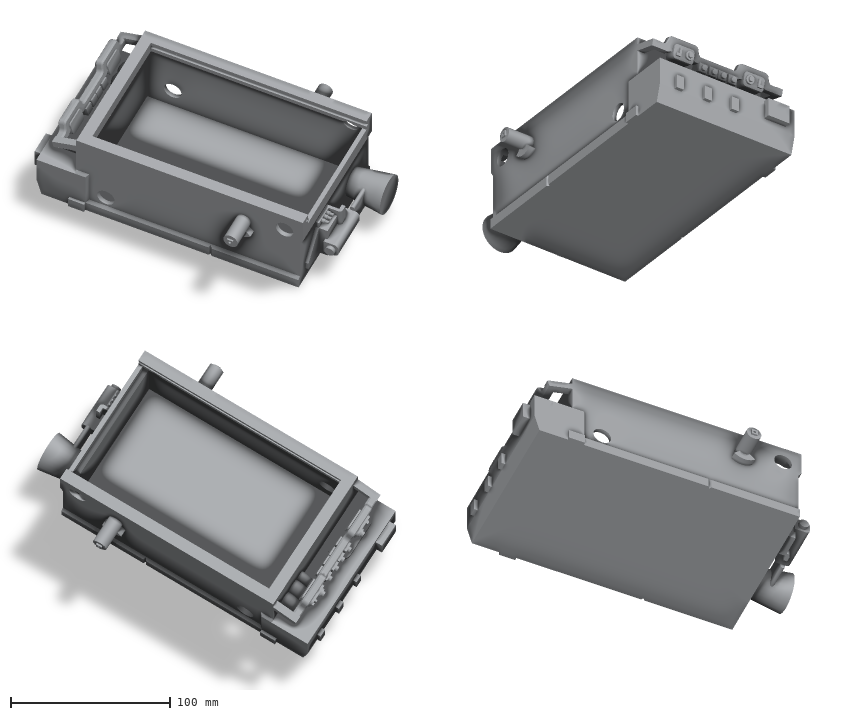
import cadquery as cq
import math

WALL = 3.0
FLOOR = 2.5
TUB_FRONT = 31.5
TUB_BACK = 186.8
TUB_LIP_BACK = 189.0
TUB_HALF = 50.0
TUB_TOP = 61.5
STEP_LOW, STEP_HIGH = 40.5, 44.0
BACK_WALL_TOP = 53.5

RAIL_TOP = 7.0
BEVEL = 2.0
RAIL_HALF = TUB_HALF + BEVEL

BLOCK_FRONT, BLOCK_BACK = 4.7, 38.6
BLOCK_TOP = 31.5
BLOCK_SLOPE_TOP = 12.3
BLOCK_TOE = 8.0

TRUNNION_X, TRUNNION_Z = 147.8, 43.3
TRUNNION_DIAMETER = 10.0
TRUNNION_END = 69.2
OVERALL_HALF_WIDTH = 70.38

HORN_Y, HORN_Z = 26.3, 19.5
HORN_END = 212.3

SIDES = (1, -1)
OVERLAP = 2.1


def box(x0, x1, y0, y1, z0, z1):
    """Box between two corners."""
    return cq.Workplane("XY").box(x1 - x0, y1 - y0, z1 - z0, centered=False).translate((x0, y0, z0))


def prism_y(outline, half_width):
    """Outline of (x, z) points extruded evenly to both sides of the middle plane."""
    return cq.Workplane("XZ").polyline(outline).close().extrude(half_width, both=True)


def cylinder_x(x0, x1, y, z, diameter):
    return cq.Workplane("YZ", origin=(x0, y, z)).circle(diameter / 2).extrude(x1 - x0)


def cylinder_y(y0, y1, x, z, diameter):
    return cq.Workplane("XZ", origin=(x, y0, z)).circle(diameter / 2).extrude(y0 - y1)


def tub_shell():
    return prism_y([
        (TUB_FRONT, 0),
        (TUB_BACK, 0),
        (TUB_BACK, STEP_LOW),
        (TUB_LIP_BACK, STEP_HIGH),
        (TUB_LIP_BACK, TUB_TOP),
        (TUB_FRONT, TUB_TOP),
    ], TUB_HALF)


def tub_hollow():
    """Inside of the tub, its narrower mouth open to the back, and the lid grooves."""
    mouth_front, mouth_half = 39.0, 42.5
    groove_low, groove_high, groove_depth = 56.5, 59.0, 2.1
    slope_low, slope_high = 40.0, 45.9
    cut_end = TUB_LIP_BACK + OVERLAP
    inside = prism_y([
        (TUB_FRONT + WALL, FLOOR),
        (TUB_BACK - WALL, FLOOR),
        (TUB_BACK - WALL, slope_low),
        (TUB_LIP_BACK - WALL, slope_high),
        (TUB_LIP_BACK - WALL, BACK_WALL_TOP),
        (TUB_FRONT + WALL, BACK_WALL_TOP),
    ], TUB_HALF - WALL)
    mouth = box(mouth_front, cut_end, -mouth_half, mouth_half, BACK_WALL_TOP, TUB_TOP)
    groove_half = mouth_half + groove_depth
    groove = box(mouth_front, cut_end, -groove_half, groove_half, groove_low, groove_high)
    return inside.union(mouth).union(groove)


def side_holes():
    """Round holes through both side walls: (x, z) centres."""
    hole_diameter = 12.0
    holes = cq.Workplane("XZ")
    holes = holes.pushPoints([(176.2, 48.6), (52.0, 16.5)]).circle(hole_diameter / 2)
    return holes.extrude(TUB_HALF + OVERLAP, both=True)


def bottom_rails():
    """Bevelled rails along both sides, each parted by an upright V-groove."""
    groove_x, groove_half, groove_depth = 125.3, 1.0, 1.5
    rails = cq.Workplane("YZ", origin=(TUB_FRONT, 0, 0)).polyline([
        (-RAIL_HALF, 0),
        (RAIL_HALF, 0),
        (RAIL_HALF, RAIL_TOP),
        (TUB_HALF, RAIL_TOP + BEVEL),
        (-TUB_HALF, RAIL_TOP + BEVEL),
        (-RAIL_HALF, RAIL_TOP),
    ]).close().extrude(TUB_BACK - TUB_FRONT)
    for side in SIDES:
        rails = rails.cut(cq.Workplane("XY").polyline([
            (groove_x - groove_half, side * RAIL_HALF),
            (groove_x + groove_half, side * RAIL_HALF),
            (groove_x, side * (RAIL_HALF - groove_depth)),
        ]).close().extrude(RAIL_TOP + BEVEL))
    return rails


def front_block():
    block = prism_y([
        (BLOCK_TOE, 0),
        (BLOCK_BACK, 0),
        (BLOCK_BACK, BLOCK_TOP),
        (BLOCK_FRONT, BLOCK_TOP),
        (BLOCK_FRONT, BLOCK_SLOPE_TOP),
    ], RAIL_HALF)
    collar_end = BLOCK_BACK + BEVEL
    collar_top = BLOCK_TOP + BEVEL
    for side in SIDES:
        collar = cq.Workplane("XZ", origin=(0, side * TUB_HALF, 0))
        collar = collar.moveTo((TUB_FRONT + collar_end) / 2, collar_top / 2)
        collar = collar.rect(collar_end - TUB_FRONT, collar_top)
        collar = collar.workplane(offset=-side * BEVEL)
        collar = collar.moveTo((TUB_FRONT + BLOCK_BACK) / 2, BLOCK_TOP / 2)
        collar = collar.rect(BLOCK_BACK - TUB_FRONT, BLOCK_TOP).loft(ruled=True)
        block = block.union(collar)
    return block


def block_details():
    """Side tabs, front buttons and the raised top plate of the front block."""
    tab_front, tab_thickness = 27.5, 2.0
    tab_half = RAIL_HALF + tab_thickness
    details = box(tab_front, BLOCK_BACK, -tab_half, tab_half, 0, RAIL_TOP)

    block_inside = BLOCK_FRONT + OVERLAP
    button_width, button_top, button_front = 5.3, 21.7, 2.1
    for y in (38.0, 16.3, -4.5):
        button = box(button_front, block_inside, y - button_width / 2, y + button_width / 2,
                     BLOCK_SLOPE_TOP, button_top)
        details = details.union(button)
    hatch_right, hatch_left, hatch_low, hatch_high = -44.8, -28.5, 16.5, 29.5
    details = details.union(box(0, block_inside, hatch_right, hatch_left, hatch_low, hatch_high))

    plate_front, plate_width, plate_height = 13.0, 15.3, 1.7
    plate_left, plate_right = -4.7, -36.7
    end_radius = plate_width / 2
    plate = box(plate_front, plate_front + plate_width, plate_right, plate_left - end_radius,
                BLOCK_TOP, BLOCK_TOP + plate_height)
    round_end = cq.Workplane("XY", origin=(plate_front + end_radius, plate_left - end_radius, BLOCK_TOP))
    plate = plate.union(round_end.circle(end_radius).extrude(plate_height))
    return details.union(plate)


def domes():
    """Three upright discs with full-round rims, half buried in the front wall of the tub."""
    disc_radius = 7.2
    group = cq.Workplane("XY")
    for y, width in ((36.3, 10.0), (26.8, 10.0), (18.3, 6.5)):
        disc = cq.Workplane("XY").moveTo(0, -width / 2).lineTo(disc_radius, -width / 2)
        disc = disc.threePointArc((disc_radius + width / 2, 0), (disc_radius, width / 2))
        disc = disc.lineTo(0, width / 2).close().revolve(360, (0, 0, 0), (0, 1, 0))
        group = group.add(disc.translate((TUB_FRONT, y, BLOCK_TOP)))
    keep = box(0, TUB_FRONT + WALL / 2, -TUB_HALF, TUB_HALF, BLOCK_TOP - OVERLAP, TUB_TOP)
    return group.combine().intersect(keep)


PANEL_TILT = 15
PANEL_FACE, PANEL_REAR = 27.4, 32.5
PANEL_LOW, PANEL_HIGH = 41.6, 46.3
HUMP_Y, HUMP_HIGH = 27.07, 52.7
CONTROL_FACE, CONTROL_REAR = 25.5, 33.5


def panel_bar():
    """Cross bar with two humps along its top edge and matching relief below."""
    top_half, foot_half = 10.8, 13.0
    relief_half, relief_foot, relief = 7.6, 10.5, 1.3
    bend, rear_bevel, face_bevel = 2.8, 1.0, 0.6
    near = 0.2

    upper = [(TUB_HALF, PANEL_HIGH)]
    lower = [(TUB_HALF, PANEL_LOW)]
    for centre in (HUMP_Y, -HUMP_Y):
        upper += [
            (centre + foot_half, PANEL_HIGH),
            (centre + top_half, HUMP_HIGH),
            (centre - top_half, HUMP_HIGH),
            (centre - foot_half, PANEL_HIGH),
        ]
        lower += [
            (centre + relief_foot, PANEL_LOW),
            (centre + relief_half, PANEL_LOW + relief),
            (centre - relief_half, PANEL_LOW + relief),
            (centre - relief_foot, PANEL_LOW),
        ]
    upper.append((-TUB_HALF, PANEL_HIGH))
    lower.append((-TUB_HALF, PANEL_LOW))
    bar = cq.Workplane("YZ", origin=(PANEL_FACE, 0, 0)).polyline(upper + lower[::-1]).close()
    bar = bar.extrude(PANEL_REAR - PANEL_FACE)

    def upper_edges(x0, x1):
        """Selector for the edges along the top of the bar between two depths."""
        return cq.selectors.BoxSelector(
            (x0 - near, near - TUB_HALF, PANEL_HIGH - near),
            (x1 + near, TUB_HALF - near, HUMP_HIGH + near))

    bar = bar.edges("|X").edges(upper_edges(PANEL_FACE, PANEL_REAR)).fillet(bend)
    bar = bar.edges(upper_edges(PANEL_REAR, PANEL_REAR)).chamfer(rear_bevel)
    return bar.edges(upper_edges(PANEL_FACE, PANEL_FACE)).chamfer(face_bevel)


def panel_controls():
    """Hump modules with a knob and a lever, and the row of push buttons."""
    module_width, module_low, module_high, module_radius = 15.5, 38.2, 48.0, 2.1
    knob_y, base_diameter, knob_diameter = 23.4, 6.0, 3.6
    base_face, knob_face, lever_face = 24.0, 22.3, 24.0
    lever_y, lever_width, lever_foot = 29.7, 1.5, 3.5
    lever_height, foot_height = 6.0, 2.0
    key_width, key_low, key_face = 6.4, 36.0, 23.5
    key_bite = 0.2
    module_middle = (module_low + module_high) / 2
    key_middle = (key_low + PANEL_LOW) / 2
    controls = cq.Workplane("XY")
    for side in SIDES:
        module = cq.Workplane("YZ", origin=(CONTROL_FACE, side * HUMP_Y, module_middle))
        module = module.rect(module_width, module_high - module_low).extrude(CONTROL_REAR - CONTROL_FACE)
        module = module.edges("|X").fillet(module_radius)
        module = module.union(cylinder_x(base_face, CONTROL_FACE, side * knob_y, module_middle, base_diameter))
        module = module.union(cylinder_x(knob_face, CONTROL_FACE, side * knob_y, module_middle, knob_diameter))
        lever_low = module_middle - lever_height / 2
        lever = cq.Workplane("YZ", origin=(lever_face, 0, 0)).polyline([
            (side * lever_y, lever_low),
            (side * (lever_y + lever_foot), lever_low),
            (side * (lever_y + lever_foot), lever_low + foot_height),
            (side * (lever_y + lever_width), lever_low + foot_height),
            (side * (lever_y + lever_width), lever_low + lever_height),
            (side * lever_y, lever_low + lever_height),
        ]).close().extrude(CONTROL_FACE - lever_face)
        controls = controls.add(module.union(lever))
    for y in (-11.35, -3.5, 3.5, 11.35):
        key = box(CONTROL_FACE, CONTROL_REAR, y - key_width / 2, y + key_width / 2,
                  key_low, PANEL_LOW + key_bite)
        controls = controls.add(key.union(cylinder_x(key_face, CONTROL_FACE, y, key_middle, knob_diameter)))
    return controls.combine()


def control_panel():
    arm_inside, arm_end = 45.0, 46.7
    panel = panel_bar().union(panel_controls())
    for side in SIDES:
        y0, y1 = sorted((side * arm_inside, side * TUB_HALF))
        panel = panel.union(box(PANEL_FACE, arm_end, y0, y1, PANEL_LOW, PANEL_HIGH))
    return panel.rotate((0, 0, 0), (0, 1, 0), -PANEL_TILT)


def trunnion(side):
    """Round side pin with a square drilled end and a quarter-round support below it."""
    support_radius, support_end = 10.0, 55.0
    square, drill_diameter = 4.0, 2.0
    root = side * (TUB_HALF - WALL)
    pin = cylinder_y(root, side * TRUNNION_END, TRUNNION_X, TRUNNION_Z, TRUNNION_DIAMETER)
    tip = cq.Workplane("XZ", origin=(TRUNNION_X, root, TRUNNION_Z)).rect(square, square)
    pin = pin.union(tip.extrude(root - side * OVERALL_HALF_WIDTH))
    drill = cylinder_y(side * TRUNNION_END, side * OVERALL_HALF_WIDTH, TRUNNION_X, TRUNNION_Z, drill_diameter)
    reach = support_radius * math.sqrt(0.5)
    support = cq.Workplane("XZ", origin=(TRUNNION_X, root, TRUNNION_Z)).lineTo(-reach, -reach)
    support = support.threePointArc((0, -support_radius), (reach, -reach)).close()
    support = support.extrude(root - side * support_end)
    return pin.cut(drill).union(support)


def horn():
    root_diameter, mouth_diameter = 19.7, 27.0
    cone = cq.Workplane("YZ", origin=(TUB_BACK, HORN_Y, HORN_Z)).circle(root_diameter / 2)
    return cone.workplane(offset=HORN_END - TUB_BACK).circle(mouth_diameter / 2).loft()


def back_mount():
    """Wall plate with a sloped side, terminal box with plugs, and a bent bracket."""
    low, high, box_top = RAIL_TOP + BEVEL, 37.2, 32.5
    plate_rear, plate_side, slope_start = 189.2, -42.5, 14.0
    box_rear = 195.1
    plug_z, plug_shoulder, plug_end = 35.0, 191.3, 193.8
    plug_diameter, pin_diameter = 3.0, 2.0
    corner_radius, flange_thickness = 2.3, 2.5
    bracket_y, box_y = -11.0, -27.2
    thickness, bracket_face, bracket_end = 2.1, 198.0, -7.2
    plate = cq.Workplane("YZ", origin=(TUB_BACK, 0, 0)).polyline([
        (bracket_y, low),
        (plate_side, low),
        (plate_side, slope_start),
        (box_y, box_top),
        (box_y, high),
        (bracket_y, high),
    ]).close().extrude(plate_rear - TUB_BACK)
    bracket_outer = bracket_y - thickness
    terminal_box = box(plate_rear, box_rear, box_y, bracket_outer, low, box_top)
    bracket = box(TUB_BACK, bracket_face, bracket_outer, bracket_y, low, high)
    flange_face = bracket_face - flange_thickness
    bracket = bracket.union(box(flange_face, bracket_face, bracket_outer, bracket_end, low, high))
    bracket = bracket.edges("|Z and >X and <Y").fillet(corner_radius)
    mount = plate.union(terminal_box).union(bracket)
    for y in (-15.5, -19.0, -22.5):
        mount = mount.union(cylinder_x(plate_rear, plug_shoulder, y, plug_z, plug_diameter))
        mount = mount.union(cylinder_x(plate_rear, plug_end, y, plug_z, pin_diameter))
    return mount


def horn_driver():
    """Driver body with a knob, joined to the horn by a flat round-edged web."""
    front, rear, height = 193.6, 203.8, 10.0
    left, right = 1.0, -29.7
    rounding, knob_length, knob_diameter = 3.2, 2.5, 6.5
    body = box(front, rear, right, left, HORN_Z - height / 2, HORN_Z + height / 2)
    body = body.edges("|Y and >X").fillet(rounding)
    middle_x = (front + rear) / 2
    body = body.union(cylinder_y(right, right - knob_length, middle_x, HORN_Z, knob_diameter))
    web_width, web_height = 3.0, 16.1
    web = cq.Workplane("XZ", origin=(middle_x, left, HORN_Z)).slot2D(web_height, web_width, 90)
    return body.union(web.extrude(left - HORN_Y))


result = tub_shell().union(bottom_rails()).union(front_block()).union(block_details())
result = result.cut(tub_hollow()).cut(side_holes())
result = result.union(domes()).union(control_panel())
for pin_side in SIDES:
    result = result.union(trunnion(pin_side))
result = result.union(horn()).union(back_mount()).union(horn_driver())